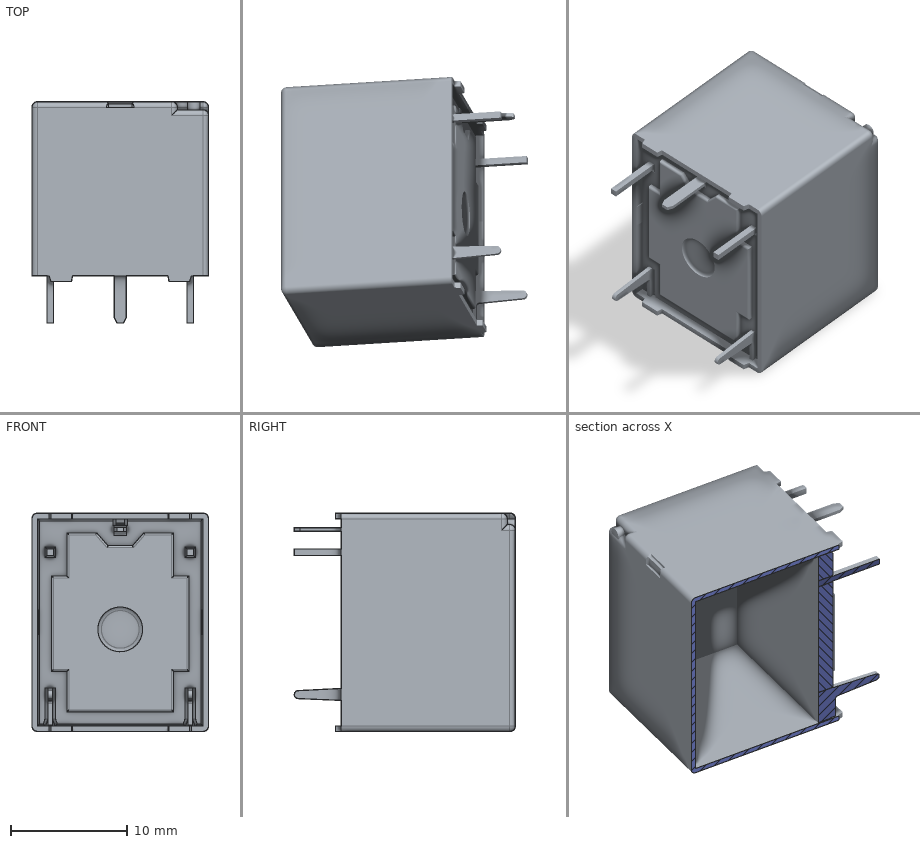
import cadquery as cq

CASE_WIDTH = 15.2
CASE_HEIGHT = 18.8
CASE_DEPTH = 15.0
WALL = 0.5
EDGE_RADIUS = 0.5
INNER_HALF_WIDTH = CASE_WIDTH / 2 - WALL
INNER_HALF_HEIGHT = CASE_HEIGHT / 2 - WALL

TAB_LENGTH = 0.5
TAB_OUTER_X = 6.12
TAB_INNER_X = 4.1
TAB_OUTER_SLOPE = 0.15
TAB_INNER_SLOPE = 0.1

CORNER_STEP_X = 4.91
CORNER_STEP_Y = 14.29
CORNER_DROP = 1.0
RIB_X = 6.32
RIB_RADIUS = 0.55
RIB_SINK = 0.05
RIB_END_GAP = 0.05
SELECTION_MARGIN = 0.02

EDGE_NOTCH_HALF_WIDTH = 1.18
EDGE_NOTCH_DEPTH = 0.2
EDGE_NOTCH_HEIGHT = 1.0

BASE_FACE_Y = 0.61
BASE_THICKNESS = 1.52
BASE_CHAMFER = 0.17
BASE_BACK_Y = BASE_FACE_Y + BASE_THICKNESS

BUMP_HALF_HEIGHT = 1.07
BUMP_CREST = 0.08
BUMP_START_Y = 0.02
BUMP_CREST_Y = 0.3

PANEL_HEIGHT = 0.44
PANEL_EDGE_RADIUS = 0.17
PANEL_HALF_HEIGHT = 7.7
PANEL_HALF_WIDTH = 4.6
PANEL_WIDE_HALF_WIDTH = 5.9
PANEL_WIDE_TOP_Z = 3.98
PANEL_WIDE_BOTTOM_Z = -4.21
PANEL_NOTCH_MOUTH_HALF_WIDTH = 2.04
PANEL_NOTCH_FLOOR_HALF_WIDTH = 1.05
PANEL_NOTCH_FLOOR_Z = 6.6

DISH_Z = -0.61
DISH_FLOOR_RADIUS = 1.62
DISH_RIM_WIDTH = 0.3
DISH_DEPTH = 0.21

PIN_TIP_Y = -4.05
PIN_COLUMN_X = 6.02

SQUARE_PIN_SIZE = 0.57
SQUARE_PIN_Z = 6.02
SQUARE_MOUTH_SIZE = 0.9
SQUARE_MOUTH_DEPTH = 0.15

FLAT_PIN_WIDTH = 1.07
FLAT_PIN_BOTTOM_Z = 7.83
FLAT_PIN_TOP_Z = 8.15
FLAT_PIN_TIP_WIDTH = 0.6
FLAT_PIN_TIP_LENGTH = 0.51
FLAT_MOUTH_BOTTOM_Z = 7.49
FLAT_MOUTH_DEPTH = 0.32

BASE_NOTCH_HALF_WIDTH = 0.61
BASE_NOTCH_BOTTOM_Z = 8.32
WEDGE_HALF_WIDTH = 0.38
WEDGE_FOOT_Z = 8.36
WEDGE_FACE_Z = 8.53

BLADE_THICKNESS = 0.36
BLADE_TOP_Z = -5.65
BLADE_BOTTOM_Z = -8.82
BLADE_STRIP_Y = 0.38
PRONG_ROOT_BOTTOM_Z = -6.75
PRONG_TIP_Y = -4.04
PRONG_TIP_TOP_Z = -5.87
PRONG_TIP_BOTTOM_Z = -6.57
BLADE_ROOT_RADIUS = 0.23
SLOT_MOUTH_HALF_WIDTH = 0.45
SLOT_MOUTH_DEPTH = 0.25
SLOT_FLARE_HALF_WIDTH = 0.65
SLOT_FLARE_THROAT_HALF_WIDTH = 0.4
SLOT_FLARE_TOP_Z = -8.3


def block(x_range, y_range, z_range):
    """Box between the given limits."""
    size = [limits[1] - limits[0] for limits in (x_range, y_range, z_range)]
    corner = (x_range[0], y_range[0], z_range[0])
    return cq.Workplane("XY").box(*size, centered=False).translate(corner)


def prism_along_x(points_yz, half_width):
    """Outline of (Y, Z) points extruded symmetrically about the plane X = 0."""
    return cq.Workplane("YZ").polyline(points_yz).close().extrude(half_width, both=True)


def prism_along_z(points_xy, z_bottom, z_top):
    """Outline of (X, Y) points extruded from z_bottom to z_top."""
    return cq.Workplane("XY", origin=(0, 0, z_bottom)).polyline(points_xy).close().extrude(z_top - z_bottom)


def facing_back(y):
    """Workplane at y with local X along X, local Y along -Z, and extrusion toward +Y."""
    return cq.Workplane(cq.Plane(origin=(0, y, 0), xDir=(1, 0, 0), normal=(0, 1, 0)))


def rounded_block(z_top):
    """Case-sized block up to z_top, rounded on every edge except those of the open front."""
    body = block((-CASE_WIDTH / 2, CASE_WIDTH / 2), (0, CASE_DEPTH), (-CASE_HEIGHT / 2, z_top))
    return body.edges("|Y or >Y").fillet(EDGE_RADIUS)


def case_outside():
    """Rounded block whose top back corner steps down to a lower rounded block."""
    top = CASE_HEIGHT / 2
    floor = top - CORNER_DROP
    cut_bottom = floor - 2 * EDGE_RADIUS
    corner = block((CORNER_STEP_X, CASE_WIDTH), (CORNER_STEP_Y, CASE_DEPTH + WALL), (cut_bottom, top + WALL))
    body = rounded_block(top).cut(corner)
    step_top_edges = body.edges(
        cq.selectors.BoxSelector(
            (CORNER_STEP_X - SELECTION_MARGIN, CORNER_STEP_Y - SELECTION_MARGIN, top - SELECTION_MARGIN),
            (CASE_WIDTH / 2, CASE_DEPTH, top + SELECTION_MARGIN),
        )
    )
    body = step_top_edges.fillet(EDGE_RADIUS)
    rib_length = CASE_DEPTH - RIB_END_GAP - CORNER_STEP_Y
    rib = facing_back(CORNER_STEP_Y).center(RIB_X, RIB_SINK - floor).circle(RIB_RADIUS).extrude(rib_length)
    return body.union(rounded_block(floor).union(rib))


def case_cavity():
    """Inside of the case, which keeps the wall thickness under the lowered corner."""
    cavity = block(
        (-INNER_HALF_WIDTH, INNER_HALF_WIDTH),
        (0, CASE_DEPTH - WALL),
        (-INNER_HALF_HEIGHT, INNER_HALF_HEIGHT),
    )
    corner_pad = block(
        (CORNER_STEP_X - EDGE_RADIUS - WALL, INNER_HALF_WIDTH),
        (CORNER_STEP_Y - EDGE_RADIUS - WALL, CASE_DEPTH),
        (INNER_HALF_HEIGHT - CORNER_DROP, INNER_HALF_HEIGHT),
    )
    return cavity.cut(corner_pad)


def edge_notch():
    """Shallow notch with 45-degree sides, cut down into the top face and forward into the back face."""
    top = CASE_HEIGHT / 2
    floor_half_width = EDGE_NOTCH_HALF_WIDTH - EDGE_NOTCH_DEPTH
    top_outline = [
        (-EDGE_NOTCH_HALF_WIDTH, -top),
        (EDGE_NOTCH_HALF_WIDTH, -top),
        (floor_half_width, EDGE_NOTCH_DEPTH - top),
        (-floor_half_width, EDGE_NOTCH_DEPTH - top),
    ]
    top_cut = facing_back(CASE_DEPTH - EDGE_RADIUS).polyline(top_outline).close().extrude(EDGE_RADIUS)
    back_outline = [
        (-EDGE_NOTCH_HALF_WIDTH, CASE_DEPTH),
        (EDGE_NOTCH_HALF_WIDTH, CASE_DEPTH),
        (floor_half_width, CASE_DEPTH - EDGE_NOTCH_DEPTH),
        (-floor_half_width, CASE_DEPTH - EDGE_NOTCH_DEPTH),
    ]
    return top_cut.union(prism_along_z(back_outline, top - EDGE_NOTCH_HEIGHT, top))


def rim_tab(x_sign, z_sign):
    """Standoff tab continuing the upper or lower wall beyond the rim."""
    outline = [
        (x_sign * TAB_OUTER_X, 0),
        (x_sign * (TAB_OUTER_X - TAB_OUTER_SLOPE), -TAB_LENGTH),
        (x_sign * (TAB_INNER_X + TAB_INNER_SLOPE), -TAB_LENGTH),
        (x_sign * TAB_INNER_X, 0),
    ]
    z_limits = sorted((z_sign * INNER_HALF_HEIGHT, z_sign * CASE_HEIGHT / 2))
    return prism_along_z(outline, *z_limits)


def snap_bump(x_sign):
    """Bump on a side wall, ending on the chamfer of the base plate."""
    crest_x = INNER_HALF_WIDTH - BUMP_CREST
    outline = [
        (x_sign * INNER_HALF_WIDTH, BUMP_START_Y),
        (x_sign * crest_x, BUMP_CREST_Y),
        (x_sign * crest_x, BASE_FACE_Y + BASE_CHAMFER - BUMP_CREST),
        (x_sign * INNER_HALF_WIDTH, BASE_FACE_Y + BASE_CHAMFER),
    ]
    return prism_along_z(outline, -BUMP_HALF_HEIGHT, BUMP_HALF_HEIGHT)


def make_case():
    """Open-fronted case with its snap bumps and standoff tabs."""
    shell = case_outside().cut(case_cavity()).cut(edge_notch())
    for x_sign in (-1, 1):
        shell = shell.union(snap_bump(x_sign))
        for z_sign in (-1, 1):
            shell = shell.union(rim_tab(x_sign, z_sign))
    return shell


def raised_panel():
    """Panel with a rounded edge around its face."""
    right_half = [
        (PANEL_NOTCH_FLOOR_HALF_WIDTH, PANEL_NOTCH_FLOOR_Z),
        (PANEL_NOTCH_MOUTH_HALF_WIDTH, PANEL_HALF_HEIGHT),
        (PANEL_HALF_WIDTH, PANEL_HALF_HEIGHT),
        (PANEL_HALF_WIDTH, PANEL_WIDE_TOP_Z),
        (PANEL_WIDE_HALF_WIDTH, PANEL_WIDE_TOP_Z),
        (PANEL_WIDE_HALF_WIDTH, PANEL_WIDE_BOTTOM_Z),
        (PANEL_HALF_WIDTH, PANEL_WIDE_BOTTOM_Z),
        (PANEL_HALF_WIDTH, -PANEL_HALF_HEIGHT),
    ]
    left_half = [(-x, z) for x, z in reversed(right_half)]
    outline = cq.Workplane("XZ", origin=(0, BASE_FACE_Y, 0)).polyline(right_half + left_half).close()
    return outline.extrude(PANEL_HEIGHT).faces("<Y").edges().fillet(PANEL_EDGE_RADIUS)


def panel_dish():
    """Dish whose rim is an arc tangent to the panel face that ends at the edge of the flat floor."""
    face_y = BASE_FACE_Y - PANEL_HEIGHT
    floor_y = face_y + DISH_DEPTH
    rim_radius = (DISH_RIM_WIDTH**2 + DISH_DEPTH**2) / (2 * DISH_DEPTH)
    half_section = (
        cq.Workplane("XY", origin=(0, 0, DISH_Z))
        .moveTo(0, face_y)
        .lineTo(DISH_FLOOR_RADIUS + DISH_RIM_WIDTH, face_y)
        .radiusArc((DISH_FLOOR_RADIUS, floor_y), -rim_radius)
        .lineTo(0, floor_y)
        .close()
    )
    return half_section.revolve(360, (0, 0, 0), (0, 1, 0))


def square_pin_mouth(x):
    """Funnel that leads into the hole of a square pin."""
    mouth = facing_back(BASE_FACE_Y).center(x, -SQUARE_PIN_Z).rect(SQUARE_MOUTH_SIZE, SQUARE_MOUTH_SIZE)
    return mouth.workplane(offset=SQUARE_MOUTH_DEPTH).rect(SQUARE_PIN_SIZE, SQUARE_PIN_SIZE).loft()


def flat_pin_mouth():
    """Recess whose floor slopes into the hole of the flat pin."""
    throat_y = BASE_FACE_Y + FLAT_MOUTH_DEPTH
    outline = [
        (BASE_FACE_Y, FLAT_MOUTH_BOTTOM_Z),
        (throat_y, FLAT_PIN_BOTTOM_Z),
        (throat_y, FLAT_PIN_TOP_Z),
        (BASE_FACE_Y, FLAT_PIN_TOP_Z),
    ]
    return prism_along_x(outline, FLAT_PIN_WIDTH / 2)


def base_notch():
    """Notch in the upper edge of the base plate, with a ramp from its floor out to the flat pin."""
    floor_y = BASE_FACE_Y + BASE_CHAMFER
    notch = block(
        (-BASE_NOTCH_HALF_WIDTH, BASE_NOTCH_HALF_WIDTH),
        (BASE_FACE_Y, floor_y),
        (BASE_NOTCH_BOTTOM_Z, INNER_HALF_HEIGHT),
    )
    ramp_outline = [
        (BASE_FACE_Y, FLAT_PIN_TOP_Z),
        (floor_y, BASE_NOTCH_BOTTOM_Z),
        (BASE_FACE_Y, BASE_NOTCH_BOTTOM_Z),
    ]
    return notch.union(prism_along_x(ramp_outline, FLAT_PIN_WIDTH / 2))


def notch_wedge():
    """Wedge in the middle of the base notch, with a sloping lower end."""
    floor_y = BASE_FACE_Y + BASE_CHAMFER
    outline = [
        (floor_y, WEDGE_FOOT_Z),
        (BASE_FACE_Y, WEDGE_FACE_Z),
        (BASE_FACE_Y, INNER_HALF_HEIGHT),
        (floor_y, INNER_HALF_HEIGHT),
    ]
    return prism_along_x(outline, WEDGE_HALF_WIDTH)


def flare_outline(x, upper_half_width, lower_half_width):
    """Trapezoid of (X, -Z) points that widens toward the lower edge of the base plate."""
    return [
        (x - upper_half_width, -SLOT_FLARE_TOP_Z),
        (x + upper_half_width, -SLOT_FLARE_TOP_Z),
        (x + lower_half_width, INNER_HALF_HEIGHT),
        (x - lower_half_width, INNER_HALF_HEIGHT),
    ]


def blade_slot_mouth(x):
    """Sloping mouth of a blade slot, open at the lower edge of the base plate and flared there."""
    throat_half = BLADE_THICKNESS / 2
    throat_y = BASE_FACE_Y + SLOT_MOUTH_DEPTH
    outline = [
        (x - SLOT_MOUTH_HALF_WIDTH, BASE_FACE_Y),
        (x + SLOT_MOUTH_HALF_WIDTH, BASE_FACE_Y),
        (x + throat_half, throat_y),
        (x - throat_half, throat_y),
    ]
    mouth = prism_along_z(outline, -INNER_HALF_HEIGHT, BLADE_TOP_Z)
    flare = (
        facing_back(BASE_FACE_Y)
        .polyline(flare_outline(x, SLOT_MOUTH_HALF_WIDTH, SLOT_FLARE_HALF_WIDTH))
        .close()
        .workplane(offset=SLOT_MOUTH_DEPTH)
        .polyline(flare_outline(x, throat_half, SLOT_FLARE_THROAT_HALF_WIDTH))
        .close()
        .loft()
    )
    return mouth.union(flare)


def make_base(fitted_pins):
    """Base plate with its panel, pin mouths and a matching hole for every pin."""
    plate = block(
        (-INNER_HALF_WIDTH, INNER_HALF_WIDTH),
        (BASE_FACE_Y, BASE_BACK_Y),
        (-INNER_HALF_HEIGHT, INNER_HALF_HEIGHT),
    )
    plate = plate.faces("<Y").chamfer(BASE_CHAMFER)
    plate = plate.cut(base_notch()).union(notch_wedge()).cut(flat_pin_mouth())
    for x in (-PIN_COLUMN_X, PIN_COLUMN_X):
        plate = plate.cut(square_pin_mouth(x)).cut(blade_slot_mouth(x))
    plate = plate.union(raised_panel()).cut(panel_dish())
    for pin in fitted_pins:
        plate = plate.cut(pin)
    return plate


def make_square_pin(x):
    """Straight square pin ending flush with the back of the base plate."""
    half = SQUARE_PIN_SIZE / 2
    return block((x - half, x + half), (PIN_TIP_Y, BASE_BACK_Y), (SQUARE_PIN_Z - half, SQUARE_PIN_Z + half))


def make_flat_pin():
    """Flat pin with a tip that narrows on both sides."""
    half = FLAT_PIN_WIDTH / 2
    tip_half = FLAT_PIN_TIP_WIDTH / 2
    shoulder_y = PIN_TIP_Y + FLAT_PIN_TIP_LENGTH
    outline = [
        (-half, BASE_BACK_Y),
        (-half, shoulder_y),
        (-tip_half, PIN_TIP_Y),
        (tip_half, PIN_TIP_Y),
        (half, shoulder_y),
        (half, BASE_BACK_Y),
    ]
    return prism_along_z(outline, FLAT_PIN_BOTTOM_Z, FLAT_PIN_TOP_Z)


def make_blade(x):
    """Blade terminal: tapered prong with a rounded tip, on a strip reaching toward the lower edge."""
    tip_radius = (PRONG_TIP_TOP_Z - PRONG_TIP_BOTTOM_Z) / 2
    tip_centre_y = PRONG_TIP_Y + tip_radius
    blade = (
        cq.Workplane("YZ", origin=(x, 0, 0))
        .moveTo(BASE_BACK_Y, BLADE_TOP_Z)
        .lineTo(BLADE_STRIP_Y, BLADE_TOP_Z)
        .lineTo(tip_centre_y, PRONG_TIP_TOP_Z)
        .threePointArc((PRONG_TIP_Y, PRONG_TIP_TOP_Z - tip_radius), (tip_centre_y, PRONG_TIP_BOTTOM_Z))
        .lineTo(BLADE_STRIP_Y, PRONG_ROOT_BOTTOM_Z)
        .lineTo(BLADE_STRIP_Y, BLADE_BOTTOM_Z)
        .lineTo(BASE_BACK_Y, BLADE_BOTTOM_Z)
        .close()
        .extrude(BLADE_THICKNESS / 2, both=True)
    )
    root_corner = cq.selectors.NearestToPointSelector((x, BLADE_STRIP_Y, PRONG_ROOT_BOTTOM_Z))
    return blade.edges("|X").edges(root_corner).fillet(BLADE_ROOT_RADIUS)


columns = (-PIN_COLUMN_X, PIN_COLUMN_X)
square_pins = [make_square_pin(x) for x in columns]
blades = [make_blade(x) for x in columns]
flat_pin = make_flat_pin()
pins = [*square_pins, *blades, flat_pin]

case = make_case()
base = make_base(pins)

result = cq.Compound.makeCompound([body.val() for body in (case, base, *pins)])